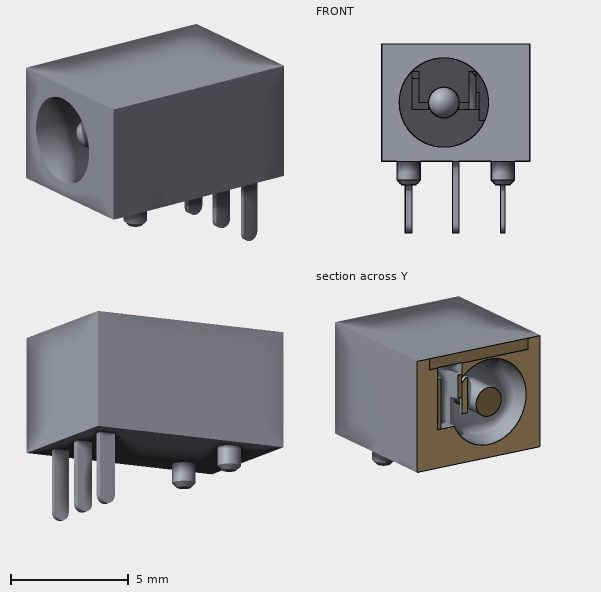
import cadquery as cq
import math


WIDTH = 6.3
LENGTH = 9.0
HEIGHT = 4.995
BORE_DIAMETER = 3.8
BORE_X = -0.5
BORE_Z = HEIGHT / 2
BORE_FLOOR_Y = 7.04
SIDE_X = WIDTH / 2

PEG_DIAMETER = 1.0
PEG_LENGTH = 1.0
PEG_CHAMFER = 0.2
PEG_Y = 2.0

COVER_THICKNESS = 0.495
COVER_FRONT_Y = 0.7
COVER_WING_REAR_Y = 2.2
COVER_LIP_Y = 0.4
COVER_LIP_X = 2.03
SIDE_RAIL_WIDTH = 0.65
REAR_LUG_WIDTH = 1.55
REAR_LUG_DEPTH = 0.65
COVER_Z = HEIGHT - COVER_THICKNESS

PIN_DIAMETER = 1.305
PIN_TIP_Y = 0.87
PIN_RADIUS = PIN_DIAMETER / 2

SHEET = 0.3
LEAD_X = 2.0
LEAD_WIDTH = 0.72
LEAD_DROP = 3.05
LEAD_REAR_GAP = 0.65
LEAD_REAR_Y = LENGTH - LEAD_REAR_GAP
LEAD_FRONT_Y = LEAD_REAR_Y - LEAD_WIDTH
LEAD_RADIUS = LEAD_WIDTH / 2

CLIP_DEPTH = LEAD_FRONT_Y - BORE_FLOOR_Y
CLIP_HALF_WIDTH = 1.36
CLIP_BOTTOM_Z = BORE_Z - SHEET
CLIP_TOP_Z = 3.82
CLIP_STEP = CLIP_DEPTH / 2
SWITCH_LEG_FRONT_Y = 6.12
SWITCH_LEG_RELIEF_DIAMETER = 3.51
CLIP_LEFT_X = BORE_X - CLIP_HALF_WIDTH
CLIP_RIGHT_X = BORE_X + CLIP_HALF_WIDTH

SPRING_SHEET = 0.2
SPRING_BOTTOM_Z = 1.74
SPRING_TOP_Z = 4.0
SPRING_FRONT_Y = 4.32
LEAF_FRONT_X = 1.6
BEND_START_X = 1.05
BEND_START_Y = 5.67
BEND_END_X = 0.99
BEND_END_Y = 5.88
TONGUE_BOTTOM_Z = 2.93
TONGUE_END_Y = 6.3
SPRING_OUTER_X = LEAD_X + SPRING_SHEET / 2
SPRING_INNER_X = LEAD_X - SPRING_SHEET / 2


def block(x_range, y_range, z_range):
    """Axis-aligned box given by its limits along each axis."""
    (x0, x1), (y0, y1), (z0, z1) = x_range, y_range, z_range
    return cq.Workplane("XY").box(x1 - x0, y1 - y0, z1 - z0, centered=False).translate((x0, y0, z0))


def rod(diameter, y_range):
    """Cylinder on the bore axis."""
    y0, y1 = y_range
    return (
        cq.Workplane("XZ", origin=(BORE_X, y0, BORE_Z))
        .circle(diameter / 2)
        .extrude(y0 - y1)
    )


def make_cover():
    """Flat plate with two front wings, a front lip and a rear notch."""
    inner_x = SIDE_X - SIDE_RAIL_WIDTH
    lug_x = REAR_LUG_WIDTH / 2
    z_range = (COVER_Z, HEIGHT)
    plate = block((-inner_x, inner_x), (COVER_FRONT_Y, LENGTH), z_range)
    wings = block((-SIDE_X, SIDE_X), (COVER_FRONT_Y, COVER_WING_REAR_Y), z_range)
    lip = block((COVER_LIP_X, SIDE_X), (COVER_LIP_Y, COVER_FRONT_Y), z_range)
    notch = block((-lug_x, lug_x), (LENGTH - REAR_LUG_DEPTH, LENGTH), z_range)
    return plate.union(wings).union(lip).cut(notch)


def make_pin():
    """Round pin with a hemispherical tip, seated on the bridge of the clip."""
    seat_y = BORE_FLOOR_Y + CLIP_STEP
    dome_y = PIN_TIP_Y + PIN_RADIUS
    dome_offset = PIN_RADIUS * math.sqrt(0.5)
    return (
        cq.Workplane("YZ", origin=(BORE_X, 0, BORE_Z))
        .moveTo(PIN_TIP_Y, 0)
        .threePointArc((dome_y - dome_offset, -dome_offset), (dome_y, -PIN_RADIUS))
        .lineTo(seat_y, -PIN_RADIUS)
        .lineTo(seat_y, 0)
        .close()
        .revolve(360, (0, 0, 0), (1, 0, 0))
    )


def make_lead(x, thickness, top_z):
    """Upright blade with a full-round lower end."""
    mid_y = (LEAD_FRONT_Y + LEAD_REAR_Y) / 2
    return (
        cq.Workplane("YZ", origin=(x - thickness / 2, 0, 0))
        .moveTo(LEAD_FRONT_Y, top_z)
        .lineTo(LEAD_FRONT_Y, LEAD_RADIUS - LEAD_DROP)
        .threePointArc((mid_y, -LEAD_DROP), (LEAD_REAR_Y, LEAD_RADIUS - LEAD_DROP))
        .lineTo(LEAD_REAR_Y, top_z)
        .close()
        .extrude(thickness)
    )


def make_clip_body():
    """U-shaped part of the clip that lies in the bore floor, with a foot beyond the right leg."""
    y_range = (BORE_FLOOR_Y, LEAD_FRONT_Y)
    leg_z = (CLIP_BOTTOM_Z, CLIP_TOP_Z)
    bar = block((CLIP_LEFT_X, CLIP_RIGHT_X), y_range, (CLIP_BOTTOM_Z, BORE_Z))
    left_leg = block((CLIP_LEFT_X, CLIP_LEFT_X + SHEET), y_range, leg_z)
    right_leg = block((CLIP_RIGHT_X - SHEET, CLIP_RIGHT_X), y_range, leg_z)
    foot = block((CLIP_RIGHT_X, CLIP_RIGHT_X + SHEET), y_range, (CLIP_BOTTOM_Z, TONGUE_BOTTOM_Z))
    return bar.union(left_leg).union(right_leg).union(foot)


def make_switch_leg():
    """Right leg standing out of the bore floor, its front part rounded off clear of the bore wall."""
    step_y = SWITCH_LEG_FRONT_Y + SHEET
    x_range = (CLIP_RIGHT_X - SHEET, CLIP_RIGHT_X)
    z_range = (CLIP_BOTTOM_Z, CLIP_TOP_Z)
    front = block(x_range, (SWITCH_LEG_FRONT_Y, step_y), z_range)
    front = front.intersect(rod(SWITCH_LEG_RELIEF_DIAMETER, (SWITCH_LEG_FRONT_Y, step_y)))
    return block(x_range, (step_y, BORE_FLOOR_Y), z_range).union(front)


def make_clip():
    """Clip with a set-back bridge behind the pin, a raised left tip and the switch leg."""
    bridge_gap = block(
        (BORE_X - PIN_RADIUS, BORE_X + PIN_RADIUS),
        (BORE_FLOOR_Y, BORE_FLOOR_Y + CLIP_STEP),
        (CLIP_BOTTOM_Z, BORE_Z),
    )
    left_tip = block(
        (CLIP_LEFT_X, CLIP_LEFT_X + SHEET),
        (BORE_FLOOR_Y - SHEET, BORE_FLOOR_Y),
        (CLIP_TOP_Z - SHEET, CLIP_TOP_Z),
    )
    return make_clip_body().cut(bridge_gap).union(left_tip).union(make_switch_leg())


def bent_strip(face_points, z_range):
    """Spring sheet that follows the given XY points with its bore-side face."""
    z0, z1 = z_range
    back_points = [(x + SPRING_SHEET, y) for x, y in reversed(face_points)]
    return cq.Workplane("XY", origin=(0, 0, z0)).polyline(face_points + back_points).close().extrude(z1 - z0)


def make_spring():
    """Side sheet folded back at the front into a sprung leaf, whose tongue rests on the switch leg."""
    z_range = (SPRING_BOTTOM_Z, SPRING_TOP_Z)
    bend_end = (BEND_END_X, BEND_END_Y)
    leaf = bent_strip([(LEAF_FRONT_X, SPRING_FRONT_Y), (BEND_START_X, BEND_START_Y), bend_end], z_range)
    tongue = bent_strip([bend_end, (CLIP_RIGHT_X, TONGUE_END_Y)], (TONGUE_BOTTOM_Z, SPRING_TOP_Z))
    fold = block((LEAF_FRONT_X, SPRING_OUTER_X), (SPRING_FRONT_Y, SPRING_FRONT_Y + SPRING_SHEET), z_range)
    side = block((SPRING_INNER_X, SPRING_OUTER_X), (SPRING_FRONT_Y, LEAD_REAR_Y), z_range)
    lead = make_lead(LEAD_X, SPRING_SHEET, SPRING_TOP_Z)
    return side.union(fold).union(leaf).union(tongue).union(lead)


def make_peg(x):
    """Round peg under the housing, chamfered at its lower end."""
    return (
        cq.Workplane("XY", origin=(x, PEG_Y, 0))
        .circle(PEG_DIAMETER / 2)
        .extrude(-PEG_LENGTH)
        .faces("<Z")
        .chamfer(PEG_CHAMFER)
    )


def make_housing(inserts):
    """Block with pegs, bore and spring pocket, recessed for the bodies that it holds."""
    body = block((-SIDE_X, SIDE_X), (0, LENGTH), (0, HEIGHT))
    for x in (-LEAD_X, LEAD_X):
        body = body.union(make_peg(x))
    spring_pocket = block(
        (CLIP_RIGHT_X, SPRING_OUTER_X),
        (SPRING_FRONT_Y, BORE_FLOOR_Y),
        (SPRING_BOTTOM_Z, COVER_Z),
    )
    body = body.cut(rod(BORE_DIAMETER, (0, BORE_FLOOR_Y))).cut(spring_pocket).cut(make_clip_body())
    for insert in inserts:
        body = body.cut(insert)
    return body


cover = make_cover()
pin = make_pin()
clip = make_clip()
spring = make_spring()
leads = [make_lead(x, SHEET, BORE_Z) for x in (-LEAD_X, 0)]
housing = make_housing([cover, pin, spring, *leads])

result = cq.Compound.makeCompound(
    [housing.val(), cover.val(), pin.val(), clip.val(), spring.val(), *[lead.val() for lead in leads]]
)